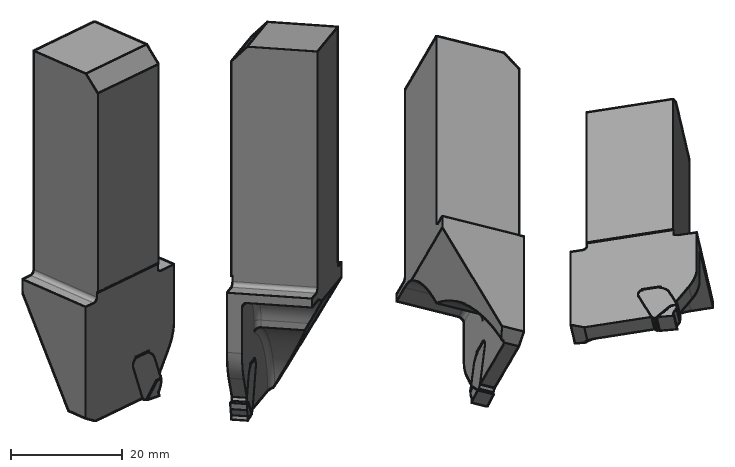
import cadquery as cq
import math

total_height = 69.85
shank_width_x = 15.85
shank_width_y = 15.8
shank_offset_y = 2.9
shank_chamfer = 2.9

head_depth = 23.0
head_top = 24.95
head_bottom = 1.0
neck_fillet = 0.85
relief_depth = 0.2
relief_top = 26.75
slope_top = 22.2
slope_angle = 60.0
edge_chamfer_run = 2.5
edge_chamfer_rise = 1.5
flank_angle = 30.0
flank_corner_z = 11.0
flank_radius = 10.5

floor_x = 12.85
floor_fillet = 1.05
pocket_top = 23.25
pocket_wall_y = 12.7
pocket_corner_radius = 6.2
pocket_notch_z = 15.7
sweep_mid = (5.7, 10.7)
sweep_end = (2.0, head_bottom)
overrun = 7.0

insert_top = 9.8
seat_gap = 0.2
tip_front_x = 12.8
head_back_x = shank_width_x - relief_depth
top_low_y = 13.05
top_high_y = 16.4
low_round_mid = (12.35, 8.95)
low_round_end = (12.4, 7.8)
heel_shoulder = (19.15, 4.4)
high_round_start = (18.0, 7.7)
high_round_mid = (17.45, 8.7)
high_round_top = 9.6
edge_foot = (14.75, 1.05)
insert_toe = (15.3, 0.4)
insert_nose = (18.9, 0.0)
nose_notch = (18.7, 0.8)
nose_side = (19.35, 2.1)
insert_heel = (19.5, 3.7)
tip_edge = (19.5, 3.3)
tip_bend = (18.3, 3.3)
tip_toe = (15.7, 0.35)


def extrude_yz(outline, x_start, x_end):
    """Extrude a closed (Y, Z) outline between two X planes."""
    return outline.extrude(x_end - x_start).translate((x_start, 0, 0))


def make_blank():
    """Shank and head block with filleted neck and shaped lower end."""
    shank_end_y = shank_offset_y + shank_width_y
    flank_run = (flank_corner_z - head_bottom) * math.tan(math.radians(flank_angle))
    outline = (
        cq.Workplane("YZ")
        .moveTo(edge_chamfer_run, head_bottom)
        .lineTo(0, head_bottom + edge_chamfer_rise)
        .lineTo(0, head_top)
        .lineTo(shank_offset_y - neck_fillet, head_top)
        .radiusArc((shank_offset_y, head_top + neck_fillet), -neck_fillet)
        .lineTo(shank_offset_y, total_height)
        .lineTo(shank_end_y, total_height)
        .lineTo(shank_end_y, head_top + neck_fillet)
        .radiusArc((shank_end_y + neck_fillet, head_top), -neck_fillet)
        .lineTo(head_depth, head_top)
        .lineTo(head_depth, flank_corner_z)
        .lineTo(head_depth - flank_run, head_bottom)
        .close()
    )
    blank = extrude_yz(outline, 0, shank_width_x)
    flank_edge = cq.selectors.NearestToPointSelector((shank_width_x / 2, head_depth, flank_corner_z))
    blank = blank.edges(flank_edge).fillet(flank_radius)
    return blank.faces(">Z").edges(">X").chamfer(shank_chamfer)


def make_back_relief():
    """Shallow step on the +X side below the shank."""
    return cq.Workplane("XY").box(relief_depth, head_depth, relief_top, centered=False).translate(
        (head_back_x, 0, 0)
    )


def make_slope_cutter():
    """Wedge under the sloping face, running the full depth of the head."""
    run = slope_top / math.tan(math.radians(slope_angle))
    return (
        cq.Workplane("XZ")
        .polyline([(0, slope_top), (run, 0), (0, 0)])
        .close()
        .extrude(-head_depth)
    )


def make_chip_pocket():
    """Stepped, round-walled pocket with a filleted floor, open to +Y and below."""
    corner_y = pocket_wall_y + pocket_corner_radius
    corner_z = pocket_top - pocket_corner_radius
    outer_y = head_depth + overrun
    outline = (
        cq.Workplane("YZ")
        .moveTo(outer_y, pocket_top)
        .lineTo(corner_y, pocket_top)
        .radiusArc((pocket_wall_y, corner_z), -pocket_corner_radius)
        .lineTo(pocket_wall_y, pocket_notch_z)
        .threePointArc(sweep_mid, sweep_end)
        .lineTo(sweep_end[0], -overrun)
        .lineTo(outer_y, -overrun)
        .close()
    )
    return extrude_yz(outline, -overrun, floor_x).faces(">X").edges().fillet(floor_fillet)


def insert_outline():
    """Insert outline with a flat top and rounded upper corners."""
    return (
        cq.Workplane("YZ")
        .moveTo(top_high_y, insert_top)
        .lineTo(top_low_y, insert_top)
        .threePointArc(low_round_mid, low_round_end)
        .lineTo(*edge_foot)
        .lineTo(*insert_toe)
        .lineTo(*insert_nose)
        .lineTo(*nose_notch)
        .lineTo(*nose_side)
        .lineTo(*insert_heel)
        .lineTo(*heel_shoulder)
        .lineTo(*high_round_start)
        .threePointArc(high_round_mid, (top_high_y, high_round_top))
        .close()
    )


def make_insert():
    """Insert plate with a cutting tip slightly thicker than the plate on both sides."""
    plate = extrude_yz(insert_outline(), floor_x, head_back_x)
    tip_outline = cq.Workplane("YZ").polyline(
        [tip_edge, tip_bend, tip_toe, insert_nose, nose_notch, nose_side]
    ).close()
    return plate.union(extrude_yz(tip_outline, tip_front_x, shank_width_x))


def make_seat_cutter():
    """Recess that fits the insert, with a narrow gap above its flat top."""
    seat_front_x = floor_x - overrun
    seat = extrude_yz(insert_outline(), seat_front_x, shank_width_x)
    gap = cq.Workplane("XY").box(
        shank_width_x - seat_front_x, top_high_y - top_low_y, seat_gap, centered=False
    )
    return seat.union(gap.translate((seat_front_x, top_low_y, insert_top)))


def make_holder():
    """Tool holder with chip pocket and insert seat."""
    return (
        make_blank()
        .cut(make_back_relief())
        .cut(make_slope_cutter())
        .cut(make_chip_pocket())
        .cut(make_seat_cutter())
    )


holder = make_holder()
insert = make_insert()

result = cq.Compound.makeCompound([holder.val(), insert.val()])